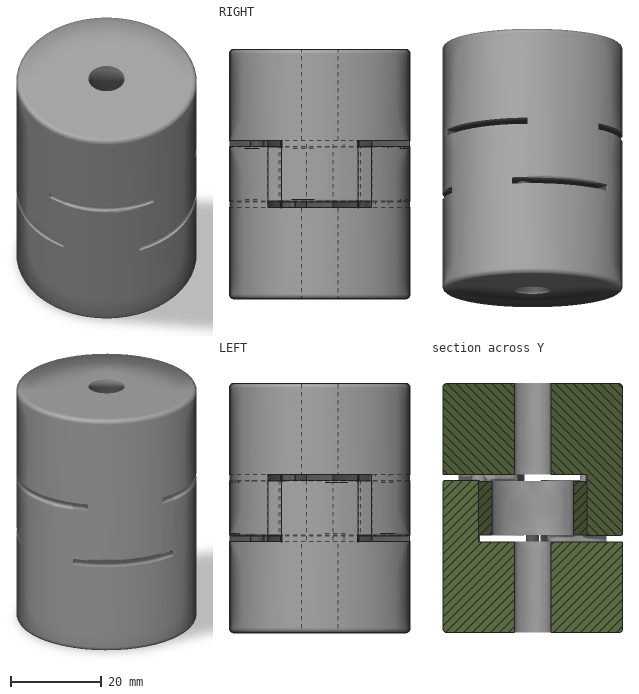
import cadquery as cq
import math


total_length = 55.3
outer_radius = 40.0 / 2
hub_bore_diameter = 8.0
rim_fillet = 1.0

hub_gap = 14.8
spider_thickness = 12.0
jaw_tip_clearance = 1.25
hub_length = (total_length - hub_gap) / 2
jaw_length = hub_gap - jaw_tip_clearance

jaw_count = 3
jaw_half_angle = math.radians(25)
jaw_inner_radius = 12.0
jaw_inner_half_width = 2.95
jaw_flank_radius = 14.4
jaw_tip_fillet = 0.5

jaw_overrun = 1.5
waste_overrun = 1.2

spider_bore_diameter = 18.0
pip_diameter = 3.0
pip_circle_radius = 13.8
pip_height = (hub_gap - spider_thickness) / 2

jaw_pitch = 360 / jaw_count
upper_jaw_angles = [i * jaw_pitch for i in range(jaw_count)]
lower_jaw_angles = [angle + jaw_pitch / 2 for angle in upper_jaw_angles]
upper_pip_angles = [angle + jaw_pitch / 4 for angle in upper_jaw_angles]
lower_pip_angles = [angle - jaw_pitch / 4 for angle in upper_jaw_angles]


def jaw_prism(angle, z_start, height):
    """Jaw section with hollowed flanks, centred on the given direction and running past the rim."""
    outer_x = outer_radius * math.cos(jaw_half_angle)
    outer_y = outer_radius * math.sin(jaw_half_angle)
    inner_y = jaw_inner_half_width
    inner_x = math.sqrt(jaw_inner_radius ** 2 - inner_y ** 2)

    chord_x = outer_x - inner_x
    chord_y = outer_y - inner_y
    chord = math.hypot(chord_x, chord_y)
    sagitta = jaw_flank_radius - math.sqrt(jaw_flank_radius ** 2 - (chord / 2) ** 2)
    flank_x = (inner_x + outer_x) / 2 + sagitta * chord_y / chord
    flank_y = (inner_y + outer_y) / 2 - sagitta * chord_x / chord

    return (
        cq.Workplane("XY", origin=(0, 0, z_start))
        .moveTo(inner_x, inner_y)
        .threePointArc((flank_x, flank_y), (outer_x, outer_y))
        .lineTo(outer_x * jaw_overrun, outer_y * jaw_overrun)
        .lineTo(outer_x * jaw_overrun, -outer_y * jaw_overrun)
        .lineTo(outer_x, -outer_y)
        .threePointArc((flank_x, -flank_y), (inner_x, -inner_y))
        .threePointArc((jaw_inner_radius, 0), (inner_x, inner_y))
        .close()
        .extrude(height)
        .rotate((0, 0, 0), (0, 0, 1), angle)
    )


def make_lower_hub():
    """Bored cylinder with rounded rims, cut away at the top to leave three jaws."""
    hub = (
        cq.Workplane("XY", origin=(0, 0, -total_length / 2))
        .circle(outer_radius)
        .extrude(hub_length + jaw_length)
        .faces("<Z").edges().fillet(rim_fillet)
        .faces(">Z").edges().fillet(jaw_tip_fillet)
    )
    waste = (
        cq.Workplane("XY", origin=(0, 0, -hub_gap / 2))
        .circle(outer_radius * waste_overrun)
        .extrude(hub_gap)
    )
    for angle in lower_jaw_angles:
        waste = waste.cut(jaw_prism(angle, -hub_gap / 2, hub_gap))
    bore = (
        cq.Workplane("XY", origin=(0, 0, -total_length / 2))
        .circle(hub_bore_diameter / 2)
        .extrude(total_length)
    )
    return hub.cut(waste).cut(bore)


def make_upper_hub():
    """The same hub turned over about the Y axis, with jaws between the lower ones."""
    return make_lower_hub().rotate((0, 0, 0), (0, 1, 0), 180)


def make_pips(angles, z_start):
    """Round spacer pips standing on the spider arms."""
    pips = cq.Workplane("XY", origin=(0, 0, z_start))
    for angle in angles:
        x = pip_circle_radius * math.cos(math.radians(angle))
        y = pip_circle_radius * math.sin(math.radians(angle))
        pips = pips.moveTo(x, y).circle(pip_diameter / 2)
    return pips.extrude(pip_height)


def make_spider():
    """Ring whose arms fill the spaces between the jaws, with pips on alternate arms."""
    spider = (
        cq.Workplane("XY")
        .circle(outer_radius)
        .circle(spider_bore_diameter / 2)
        .extrude(spider_thickness / 2, both=True)
    )
    for angle in upper_jaw_angles + lower_jaw_angles:
        spider = spider.cut(jaw_prism(angle, -hub_gap / 2, hub_gap))
    upper_pips = make_pips(upper_pip_angles, spider_thickness / 2)
    lower_pips = make_pips(lower_pip_angles, -hub_gap / 2)
    return spider.union(upper_pips).union(lower_pips)


lower_hub = make_lower_hub()
upper_hub = make_upper_hub()
spider = make_spider()

bodies = [lower_hub, upper_hub, spider]
result = cq.Compound.makeCompound([body.solids().val() for body in bodies])